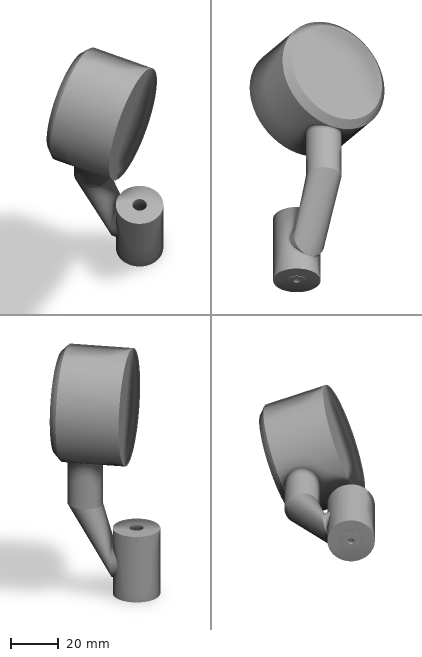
import cadquery as cq

head_diameter = 50.0
head_length = 30.0
head_chamfer = 3.1
head_top = 110.0
head_axis_z = head_top - head_diameter / 2

stem_diameter = 15.0
stem_x = 11.1
stem_bottom = 40.0

total_length_x = 43.1
post_diameter = 20.0
post_x = total_length_x - post_diameter / 2
post_top = 30.1
ring_diameter = 7.9
ring_height = 0.2
bore_diameter = 6.0
through_diameter = 2.8
bore_depth = post_top / 2

joint_x = total_length_x - post_diameter
joint_z = 15.0


def upright_cylinder(x, diameter, bottom, top):
    """Cylinder along Z, centred on Y = 0."""
    return cq.Workplane("XY", origin=(x, 0, bottom)).circle(diameter / 2).extrude(top - bottom)


def make_head():
    head = cq.Workplane("YZ", origin=(0, 0, head_axis_z)).circle(head_diameter / 2).extrude(head_length)
    return head.faces("<X").edges().chamfer(head_chamfer)


def circle_wire(plane):
    return cq.Workplane(plane).circle(stem_diameter / 2).wires().val()


def make_slanted_arm():
    """Ruled loft from the level end of the stem to the upright joint circle."""
    stem_end = cq.Plane(origin=(stem_x, 0, stem_bottom), xDir=(1, 0, 0), normal=(0, 0, -1))
    joint = cq.Plane(origin=(joint_x, 0, joint_z), xDir=(0, 0, 1), normal=(1, 0, 0))
    return cq.Workplane(cq.Solid.makeLoft([circle_wire(stem_end), circle_wire(joint)], True))


def make_plug():
    """Straight end of the arm, running into the post as far as its axis."""
    joint = cq.Workplane("YZ", origin=(joint_x, 0, joint_z))
    return joint.circle(stem_diameter / 2).extrude(post_x - joint_x)


stem = upright_cylinder(stem_x, stem_diameter, stem_bottom, head_axis_z)
post = upright_cylinder(post_x, post_diameter, ring_height, post_top)
ring = upright_cylinder(post_x, ring_diameter, 0, post_top)
bore = upright_cylinder(post_x, bore_diameter, post_top - bore_depth, post_top)
through_hole = upright_cylinder(post_x, through_diameter, 0, post_top)

lower_part = post.union(make_plug()).union(make_slanted_arm()).union(ring)
result = lower_part.union(stem).union(make_head())
result = result.cut(bore).cut(through_hole)